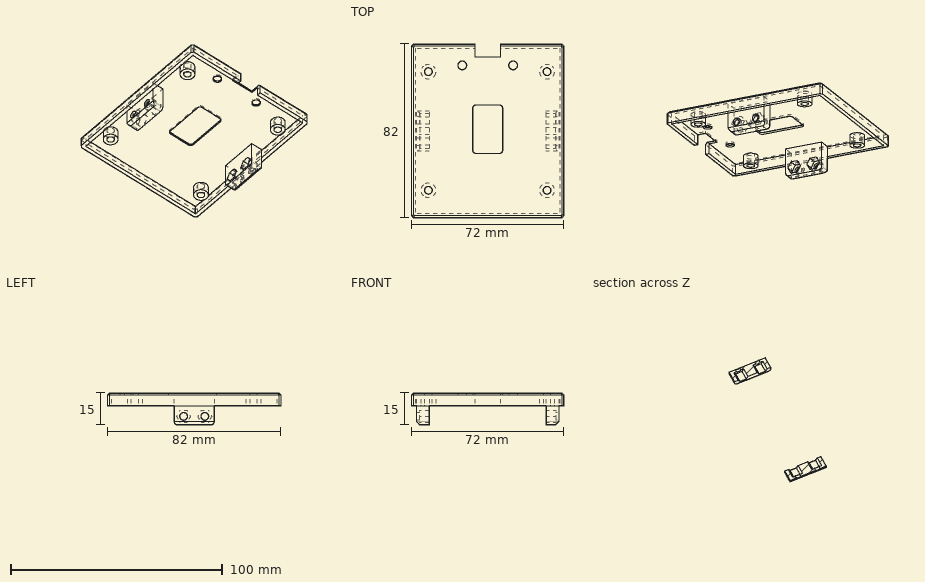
import cadquery as cq
import math

plate_width = 72.0
plate_length = 82.0
plate_height = 6.0
edge_chamfer = 1.0
wall = 2.0
top_thickness = 1.0
ceiling_z = plate_height - top_thickness
length_limit = 2 * plate_length

screw_spacing = 56.0
screw_diameter = 3.5
post_diameter = 7.0

notch_width = 12.0
notch_depth = 6.0
rear_hole_spacing = 24.0
rear_hole_diameter = 4.0
rear_hole_y = 31.0

window_width = 14.0
window_length = 22.8
window_y = 0.8
window_radius = 1.5

leg_drop = 9.0
leg_thickness = 6.15
leg_length = 19.0
leg_inset = 2.3
leg_outer_x = plate_width / 2 - leg_inset
leg_chamfer = 1.6
leg_fillet = 1.6
bolt_diameter = 3.5
bolt_spacing = 10.0
bolt_z = -5.0
nut_across_flats = 5.7
nut_across_corners = nut_across_flats / math.cos(math.radians(30))
nut_seat = 1.5


def make_tray():
    """Chamfered plate hollowed from below, leaving the walls and a thin top."""
    block = cq.Workplane("XY").box(plate_width, plate_length, plate_height, centered=(True, True, False))
    block = block.edges("|Z").chamfer(edge_chamfer)
    block = block.faces(">Z").chamfer(edge_chamfer)
    hollow = cq.Workplane("XY").rect(plate_width - 2 * wall, plate_length - 2 * wall).extrude(ceiling_z)
    return block.cut(hollow)


def make_posts():
    """Solid screw posts reaching from the open bottom to the thin top."""
    corners = cq.Workplane("XY").rect(screw_spacing, screw_spacing, forConstruction=True).vertices()
    return corners.circle(post_diameter / 2).extrude(plate_height)


def make_leg():
    """Leg on the +X side, hanging from the underside of the thin top."""
    block = cq.Workplane("XY").box(
        leg_thickness, leg_length, leg_drop + ceiling_z, centered=(True, True, False)
    )
    block = block.translate((leg_outer_x - leg_thickness / 2, 0, -leg_drop))
    rounded = block.faces("<Z").edges("|X").fillet(leg_fillet)
    sloped = block.faces("<Z").edges(">X").chamfer(leg_chamfer)
    leg = rounded.intersect(sloped)

    bolt_points = [(-bolt_spacing / 2, bolt_z), (bolt_spacing / 2, bolt_z)]
    bolts = cq.Workplane("YZ").pushPoints(bolt_points).circle(bolt_diameter / 2).extrude(length_limit)
    nuts = cq.Workplane("YZ").pushPoints(bolt_points).polygon(6, nut_across_corners)
    nuts = nuts.extrude(leg_outer_x - nut_seat)
    return leg.cut(bolts).cut(nuts)


def make_top_openings():
    """Vertical cuts: screw holes, rear holes, window and rear notch."""
    base = cq.Workplane("XY")
    screws = base.rect(screw_spacing, screw_spacing, forConstruction=True).vertices()
    screws = screws.circle(screw_diameter / 2).extrude(plate_height)
    rear_points = [(-rear_hole_spacing / 2, rear_hole_y), (rear_hole_spacing / 2, rear_hole_y)]
    rear_holes = base.pushPoints(rear_points).circle(rear_hole_diameter / 2).extrude(plate_height)
    window = base.center(0, window_y).rect(window_width, window_length).extrude(plate_height)
    window = window.edges("|Z").fillet(window_radius)
    notch = base.center(0, (plate_length - notch_depth) / 2).rect(notch_width, notch_depth)
    notch = notch.extrude(plate_height)
    return [screws, rear_holes, window, notch]


right_leg = make_leg()
result = make_tray().union(make_posts()).union(right_leg).union(right_leg.mirror("YZ"))
for opening in make_top_openings():
    result = result.cut(opening)